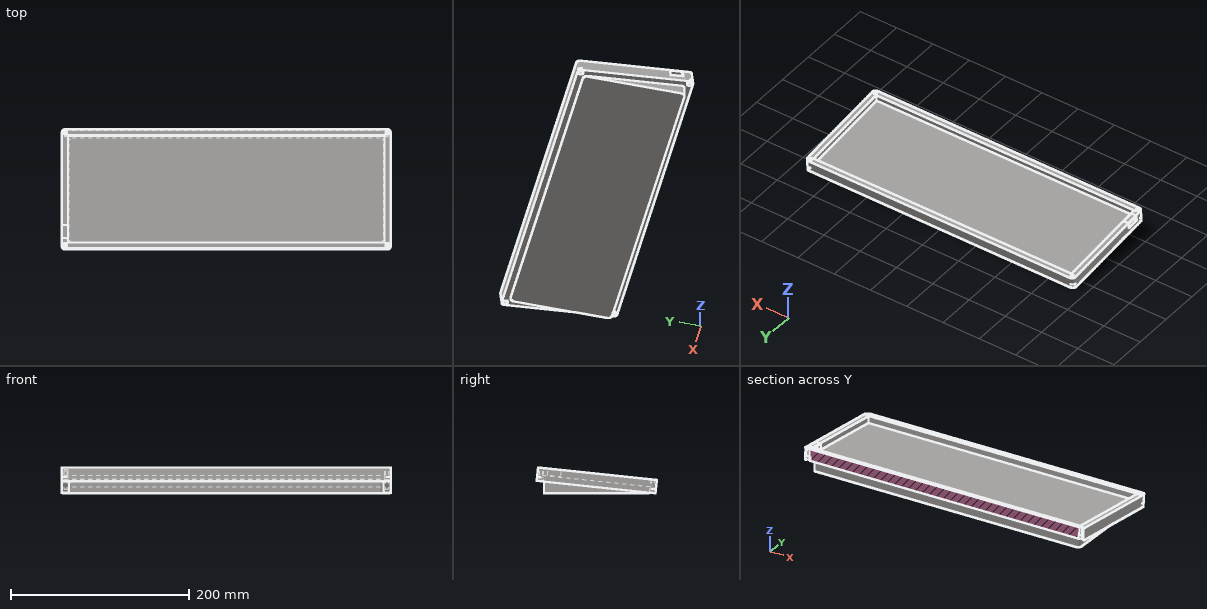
import cadquery as cq
import math

length = 369.0
envelope_depth = 135.0
envelope_height = 29.0
tilt = 6.0

tilt_cos = math.cos(math.radians(tilt))
tilt_sin = math.sin(math.radians(tilt))
tilt_spread = tilt_cos**2 - tilt_sin**2
tray_depth = (envelope_depth * tilt_cos - envelope_height * tilt_sin) / tilt_spread
tray_height = (envelope_height * tilt_cos - envelope_depth * tilt_sin) / tilt_spread

corner_radius = 4.0
cavity_length = 355.5
side_wall = (length - cavity_length) / 2
front_wall = 6.5
cavity_depth = 8.5

hole_diameter = 3.4
hole_inset = 4.0
counterbore_diameter = 6.0
counterbore_depth = 4.5

window_width = 14.8
window_height = 6.5
window_rim = 1.0
window_front_offset = 11.5

foot_inset = 8.0
foot_radius = 4.5


def make_tray():
    """Level tray: back lower edge on the X axis, front towards -Y."""
    center_y = -tray_depth / 2
    tray = (
        cq.Workplane("XY")
        .center(0, center_y)
        .rect(length, tray_depth)
        .extrude(tray_height)
        .edges("|Z")
        .fillet(corner_radius)
    )
    cavity = (
        cq.Workplane("XY", origin=(0, center_y, tray_height - cavity_depth))
        .rect(cavity_length, tray_depth - 2 * front_wall)
        .extrude(cavity_depth)
    )
    window = cq.Workplane("XY").box(side_wall, window_width, window_height, centered=False).translate(
        (-length / 2, window_front_offset - tray_depth, tray_height - window_rim - window_height)
    )
    hole_centers = cq.Workplane("XY", origin=(0, center_y, 0)).rect(
        length - 2 * hole_inset, tray_depth - 2 * hole_inset, forConstruction=True
    ).vertices()
    holes = hole_centers.circle(hole_diameter / 2).extrude(tray_height)
    counterbores = hole_centers.circle(counterbore_diameter / 2).extrude(counterbore_depth)
    return tray.cut(cavity).cut(window).cut(holes).cut(counterbores)


def make_foot():
    """Upright rounded block trimmed to the wedge below the tilted tray."""
    underside_depth = tray_depth * tilt_cos
    underside_rise = tray_depth * tilt_sin
    block = (
        cq.Workplane("XY", origin=(0, -underside_depth / 2, 0))
        .rect(length - 2 * foot_inset, underside_depth - 2 * foot_inset)
        .extrude(underside_rise)
        .edges("|Z")
        .fillet(foot_radius)
    )
    wedge = (
        cq.Workplane("YZ")
        .polyline([(0, 0), (-underside_depth, 0), (-underside_depth, underside_rise)])
        .close()
        .extrude(length / 2, both=True)
    )
    return block.intersect(wedge)


tilted_tray = make_tray().rotate((0, 0, 0), (1, 0, 0), -tilt)
result = tilted_tray.union(make_foot())